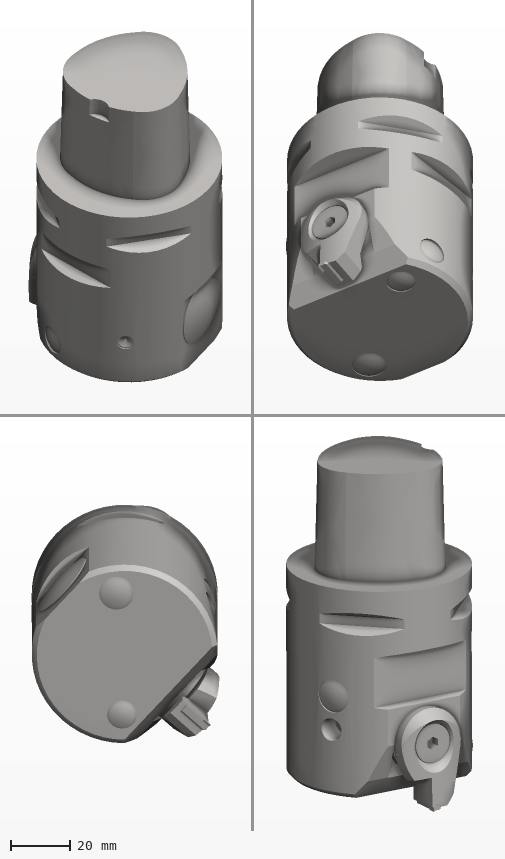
import cadquery as cq
import math


OVERALL_WIDTH = 68.8
OVERALL_HEIGHT = 116.0

BODY_DIA = 63.0
BODY_R = BODY_DIA / 2
CLEAR = BODY_R + 1.2
BODY_BOTTOM = -74.1
BOTTOM_CHAMFER = 1.7

SHANK_LEN = 38.0
SHANK_TAPER = math.degrees(math.atan(1 / 40))
SHANK_MEAN_R = 22.0
SHANK_LOBE = 1.4
FLAT_HALF_WIDTH = 12.4
FLAT_SEAM_DIST = 18.1
KEY_NOTCH_R = 5.0
KEY_NOTCH_Y = -22.7
KEY_NOTCH_DEPTH = 6.6

GRIP_FLAT_DIST = 27.8
GRIP_FLAT_Z = (-13.6, -10.2)
GRIP_FLAT_TURNS = (45, 135, 225, 315)
GRIP_FLARE = 32.0
SIDE_FLAT_DIST = 27.4
SIDE_FLAT_Z = (-31.5, -23.4)
SIDE_FLAT_TURN = 10.0
WINDOW_DIST = 25.4
WINDOW_Z = (-41.3, -23.5)
WALL_FLARE = 15.0

FACE_X = -28.0
UPPER_SLOPE_END = (-24.1, -67.5)
BOTTOM_SLOPE_X = -20.0
REAR_FLAT_X = 28.5
REAR_FLAT_TOP = -42.6

SIDE_PLUGS = ((10.0, -25, -65.7), (11.6, 207, -38.5))
PLUG_ROOT = 23.2
PLUG_RIM = 30.7
PLUG_APEX = 31.9
END_PLUGS = ((11.6, 16.8, 14.3), (10.0, -13.3, -16.1))
END_PLUG_SINK = 0.3
END_PLUG_RISE = 1.0
END_PLUG_ROOT = 1.2
PORT_DIA = 8.0
PORT_DEPTH = 9.3
PORT_ANGLE = 206
PORT_Z = -50.5
NOZZLE_ANGLE = 29
NOZZLE_DIA = 6.0
NOZZLE_STEP = 0.3
FUNNEL_DIA = 5.0
FUNNEL_DEPTH = 1.0
THROAT_DIA = 1.0
THROAT_DEPTH = 2.3

SLIDE_Z = -55.0
SLIDE_DIA = 23.8
BORE_DIA = 24.0
SLIDE_END_X = -26.6
SEAT_X = -24.0
SLIDE_REAR_X = 28.9
SLIDE_DOME = 1.7

HEAD_DIA = 13.6
HEAD_HOLE_DIA = 14.2
HEAD_FACE_X = -33.4
SINK_X = HEAD_FACE_X
SINK_DEPTH = 7.0
HEAD_SEAT_X = -30.2
NECK_DIA = 6.3
HEX_CORNER_DIA = 4.8
HEX_DEPTH = 3.5

CUTTER_BACK_X = -27.4
CUTTER_FRONT_X = -38.3
CUTTER_END_Z = -76.9
FRONT_R = 24.4
FRONT_CREST_X = -35.5
FRONT_TILT = 2.8
CROWN_RIM_X = -32.0
CROWN_RIM_R = 12.1
CROWN_TILT = 5.0
RAKE_Y = 2.1
FOOT_X = -24.6
TAIL_START = (11.5, -58.2)
TAIL_BULGE = (9.6, -64.0)
TAIL_SHOULDER = (6.7, -68.4)
TAIL_TOE = (-4.1, CUTTER_END_Z)
TAIL_CORNER = (-7.1, -73.7)
TAIL_TANGENT = (-11.5, -58.1)
TAIL_BACK_END_Z = -68.9
FOOT_TOP_Z = -72.3
NOTCH_FRONT_Z = -65.5
NOTCH_BACK_Z = -69.4
LIP_TOP_Z = -76.5
LIP_BOTTOM_Z = -77.6
LIP_BACK_X = -26.7
LIP_SHOULDER_X = -36.2
LIP_SIDE_Y = -1.4
LIP_RELIEF = ((LIP_SIDE_Y, -77.0), (-0.7, -77.5), (1.4, LIP_BOTTOM_Z))
TIP_SIDE_Y = -0.3
TIP_BACK_X = -34.5
TIP_X = BODY_R - OVERALL_WIDTH
TIP_Z = SHANK_LEN - OVERALL_HEIGHT


def rod(dia, x_start, x_end):
    """Round bar on the slide axis."""
    return cq.Workplane("YZ", origin=(x_start, 0, SLIDE_Z)).circle(dia / 2).extrude(x_end - x_start)


def prism(points, y_start, y_end):
    """Straight prism along Y from an outline of (x, z) points."""
    return cq.Workplane("XZ", origin=(0, y_start, 0)).polyline(points).close().extrude(y_start - y_end)


def flared_pocket(floor_dist, z_range, flare):
    """Removed shape for a flat facing -Y whose upper and lower walls open outward."""
    rise = (CLEAR - floor_dist) * math.tan(math.radians(flare))
    low, high = z_range
    outline = [(-floor_dist, low), (-CLEAR, low - rise), (-CLEAR, high + rise), (-floor_dist, high)]
    return cq.Workplane("YZ").polyline(outline).close().extrude(BODY_R, both=True)


def turned(shape, angle):
    """Shape turned about the tool axis."""
    return shape.rotate((0, 0, 0), (0, 0, 1), angle)


def domed_plug(dia, root, rim, apex):
    """Round plug along -Y whose spherical end rises from its rim to its apex."""
    half = dia / 2
    mid_r = half / 2
    ball_r = (half**2 + (apex - rim) ** 2) / (2 * (apex - rim))
    mid = apex - ball_r + math.sqrt(ball_r**2 - mid_r**2)
    return (
        cq.Workplane("XY")
        .moveTo(0, -root)
        .lineTo(half, -root)
        .lineTo(half, -rim)
        .threePointArc((mid_r, -mid), (0, -apex))
        .close()
        .revolve(360, (0, 0, 0), (0, 1, 0))
    )


def polar(radius, angle):
    """Point at a radius and an angle in degrees from +X."""
    a = math.radians(angle)
    return radius * math.cos(a), radius * math.sin(a)


def shank():
    """Tapered three-lobed shank with a key notch in its -Y flat."""
    seam_r = math.hypot(FLAT_HALF_WIDTH, FLAT_SEAM_DIST)
    seam_angle = math.degrees(math.atan2(FLAT_HALF_WIDTH, FLAT_SEAM_DIST))
    outline = cq.Workplane("XY").moveTo(*polar(seam_r, -90 - seam_angle))
    for side in range(3):
        flat = -90 + 120 * side
        outline = outline.threePointArc(
            polar(SHANK_MEAN_R - SHANK_LOBE, flat), polar(seam_r, flat + seam_angle)
        ).threePointArc(
            polar(SHANK_MEAN_R + SHANK_LOBE, flat + 60), polar(seam_r, flat + 120 - seam_angle)
        )
    taper = outline.close().extrude(SHANK_LEN, taper=SHANK_TAPER)
    notch = (
        cq.Workplane("XY", origin=(0, KEY_NOTCH_Y, SHANK_LEN)).circle(KEY_NOTCH_R).extrude(-KEY_NOTCH_DEPTH)
    )
    return taper.cut(notch)


def front_relief():
    """Flat and two slopes that clear the housing around the cutter."""
    step = WINDOW_DIST + FACE_X
    face_top = WINDOW_Z[0] + step * math.tan(math.radians(WALL_FLARE))
    outline = [
        (-CLEAR, WINDOW_Z[1]),
        (-WINDOW_DIST, WINDOW_Z[1]),
        (-WINDOW_DIST, WINDOW_Z[0]),
        (FACE_X, face_top),
        (FACE_X, SLIDE_Z),
        UPPER_SLOPE_END,
        (BOTTOM_SLOPE_X, BODY_BOTTOM),
        (BOTTOM_SLOPE_X, TIP_Z),
        (-CLEAR, TIP_Z),
    ]
    return prism(outline, -BODY_R, BODY_R)


def rear_relief():
    """Flat on the +X side with a 45 degree shoulder above it."""
    shoulder = CLEAR - REAR_FLAT_X
    outline = [
        (REAR_FLAT_X, TIP_Z),
        (REAR_FLAT_X, REAR_FLAT_TOP),
        (CLEAR, REAR_FLAT_TOP + shoulder),
        (CLEAR, TIP_Z),
    ]
    return prism(outline, -BODY_R, BODY_R)


def slide_opening():
    """Bore through the housing, open downward in front of its seat."""
    bore = rod(BORE_DIA, -CLEAR, CLEAR)
    slot = prism(
        [(-BODY_R, SLIDE_Z), (SEAT_X, SLIDE_Z), (SEAT_X, BODY_BOTTOM), (-BODY_R, BODY_BOTTOM)],
        -BORE_DIA / 2,
        BORE_DIA / 2,
    )
    return bore.union(slot)


def radial_hole(dia, depth, angle, z):
    """Removed cylinder that enters the body from its side."""
    hole = cq.Workplane("XZ", origin=(0, -CLEAR, 0)).circle(dia / 2).extrude(BODY_R - CLEAR - depth)
    return turned(hole, angle).translate((0, 0, z))


def end_recess(dia, x, y):
    """Removed disc that sinks the rim of an end plug into the bottom face."""
    return cq.Workplane("XY", origin=(x, y, BODY_BOTTOM)).circle(dia / 2).extrude(END_PLUG_SINK)


def end_plug(dia, x, y):
    """Domed plug standing slightly proud of the bottom face."""
    plug = domed_plug(dia, 0, END_PLUG_ROOT, END_PLUG_ROOT + END_PLUG_RISE)
    plug = plug.rotate((0, 0, 0), (1, 0, 0), 90)
    return plug.translate((x, y, BODY_BOTTOM + END_PLUG_SINK + END_PLUG_ROOT))


def nozzle():
    """Radial coolant outlet: a shallow counterbore, a funnel and a fine bore."""
    step_r = BODY_R - NOZZLE_STEP
    throat_r = step_r - FUNNEL_DEPTH
    floor_r = throat_r - THROAT_DEPTH
    outline = [
        (0, -CLEAR), (NOZZLE_DIA / 2, -CLEAR), (NOZZLE_DIA / 2, -step_r), (FUNNEL_DIA / 2, -step_r),
        (THROAT_DIA / 2, -throat_r), (THROAT_DIA / 2, -floor_r), (0, -floor_r),
    ]
    outlet = cq.Workplane("XY").polyline(outline).close().revolve(360, (0, 0, 0), (0, 1, 0))
    return turned(outlet, NOZZLE_ANGLE).translate((0, 0, SLIDE_Z))


def make_housing():
    body = cq.Workplane("XY").circle(BODY_R).extrude(BODY_BOTTOM).faces("<Z").chamfer(BOTTOM_CHAMFER)

    for angle in GRIP_FLAT_TURNS:
        body = body.cut(turned(flared_pocket(GRIP_FLAT_DIST, GRIP_FLAT_Z, GRIP_FLARE), angle))
    body = body.cut(turned(flared_pocket(SIDE_FLAT_DIST, SIDE_FLAT_Z, WALL_FLARE), -SIDE_FLAT_TURN))
    body = body.cut(turned(flared_pocket(WINDOW_DIST, WINDOW_Z, WALL_FLARE), -90))
    body = body.cut(front_relief()).cut(rear_relief())

    for dia, angle, z in SIDE_PLUGS:
        plug = turned(domed_plug(dia, PLUG_ROOT, PLUG_RIM, PLUG_APEX), angle).translate((0, 0, z))
        recess = radial_hole(dia, BODY_R - PLUG_RIM, angle, z)
        body = body.cut(recess).union(plug)
    for dia, x, y in END_PLUGS:
        body = body.cut(end_recess(dia, x, y)).union(end_plug(dia, x, y))
    body = body.cut(radial_hole(PORT_DIA, PORT_DEPTH, PORT_ANGLE, PORT_Z)).cut(nozzle())
    return body.union(shank()).cut(slide_opening())


def make_slide():
    """Round slide with a domed rear end and a necked clamping head in front."""
    bar = domed_plug(SLIDE_DIA, SLIDE_END_X, SLIDE_REAR_X, SLIDE_REAR_X + SLIDE_DOME)
    bar = turned(bar, 90).translate((0, 0, SLIDE_Z))
    neck = rod(NECK_DIA, HEAD_SEAT_X, SLIDE_END_X)
    head = rod(HEAD_DIA, HEAD_FACE_X, HEAD_SEAT_X)
    socket = (
        cq.Workplane("YZ", origin=(HEAD_FACE_X, 0, SLIDE_Z))
        .transformed(rotate=(0, 0, 90))
        .polygon(6, HEX_CORNER_DIA)
        .extrude(HEX_DEPTH)
    )
    return bar.union(neck).union(head).cut(socket)


def cutter_plate():
    """Round head with a tapering tail, before its front is shaped."""
    depth = FOOT_X - CUTTER_FRONT_X
    tail = (
        cq.Workplane("YZ", origin=(CUTTER_FRONT_X, 0, 0))
        .moveTo(*TAIL_START)
        .threePointArc(TAIL_BULGE, TAIL_SHOULDER)
        .lineTo(RAKE_Y, NOTCH_BACK_Z)
        .lineTo(RAKE_Y, CUTTER_END_Z)
        .lineTo(*TAIL_TOE)
        .lineTo(*TAIL_CORNER)
        .lineTo(*TAIL_TANGENT)
        .close()
        .extrude(depth)
    )
    back = prism(
        [
            (CUTTER_FRONT_X, 0), (CUTTER_BACK_X, 0), (CUTTER_BACK_X, TAIL_BACK_END_Z),
            (FOOT_X, FOOT_TOP_Z), (FOOT_X, CUTTER_END_Z), (CUTTER_FRONT_X, CUTTER_END_Z),
        ],
        -SLIDE_DIA,
        SLIDE_DIA,
    )
    notch = prism(
        [
            (CUTTER_FRONT_X, NOTCH_FRONT_Z), (FOOT_X, NOTCH_BACK_Z),
            (FOOT_X, TIP_Z), (CUTTER_FRONT_X, TIP_Z),
        ],
        RAKE_Y,
        SLIDE_DIA,
    )
    return rod(SLIDE_DIA, CUTTER_FRONT_X, CUTTER_BACK_X).union(tail).intersect(back).cut(notch)


def front_form():
    """Upright cylinder, leaning outward below, that shapes the cutter front."""
    return (
        cq.Workplane("XY")
        .circle(FRONT_R)
        .extrude(BODY_R, both=True)
        .rotate((0, 0, 0), (0, 1, 0), FRONT_TILT)
        .translate((FRONT_CREST_X + FRONT_R, 0, SLIDE_Z))
    )


def crown_form():
    """Cone that bevels the upper edge of the head; the tail below is left whole."""
    r = CROWN_RIM_R
    rear = r
    cone = (
        cq.Workplane("XY")
        .polyline([(-r, 0), (rear, r + rear), (rear, 0)])
        .close()
        .revolve(360, (0, 0, 0), (1, 0, 0))
        .rotate((0, 0, 0), (0, 1, 0), CROWN_TILT)
        .translate((CROWN_RIM_X, 0, SLIDE_Z))
    )
    below = prism(
        [(CUTTER_FRONT_X, SLIDE_Z), (FOOT_X, SLIDE_Z), (FOOT_X, TIP_Z), (CUTTER_FRONT_X, TIP_Z)],
        -SLIDE_DIA,
        SLIDE_DIA,
    )
    return cone.union(below)


def cutting_lip():
    """Thin lip under the tail, drawn out to a pointed tip at the rake face."""
    plan = (
        cq.Workplane("XY", origin=(0, 0, TIP_Z))
        .polyline(
            [
                (TIP_X, RAKE_Y), (TIP_X, TIP_SIDE_Y), (LIP_SHOULDER_X, LIP_SIDE_Y),
                (LIP_BACK_X, LIP_SIDE_Y), (LIP_BACK_X, RAKE_Y),
            ]
        )
        .close()
        .extrude(LIP_TOP_Z - TIP_Z)
    )
    side = prism(
        [
            (LIP_BACK_X, LIP_TOP_Z), (TIP_X, LIP_TOP_Z), (TIP_X, TIP_Z),
            (TIP_BACK_X, TIP_Z), (TIP_BACK_X, LIP_BOTTOM_Z), (LIP_BACK_X, LIP_BOTTOM_Z),
        ],
        RAKE_Y,
        -SLIDE_DIA,
    )
    end = (
        cq.Workplane("YZ")
        .polyline(
            [
                (RAKE_Y, LIP_TOP_Z), (LIP_SIDE_Y, LIP_TOP_Z),
                *LIP_RELIEF, (RAKE_Y, TIP_Z),
            ]
        )
        .close()
        .extrude(CUTTER_FRONT_X)
    )
    return plan.intersect(side).intersect(end)


def make_cutter():
    cutter = cutter_plate().intersect(front_form()).intersect(crown_form())

    hole_r = HEAD_HOLE_DIA / 2
    sink = (
        cq.Workplane("XY")
        .polyline(
            [
                (SINK_X, 0), (SINK_X, hole_r),
                (SINK_X - SINK_DEPTH, hole_r + SINK_DEPTH), (SINK_X - SINK_DEPTH, 0),
            ]
        )
        .close()
        .revolve(360, (0, 0, 0), (1, 0, 0))
        .translate((0, 0, SLIDE_Z))
    )
    cutter = cutter.cut(sink)
    cutter = cutter.cut(rod(HEAD_HOLE_DIA, SINK_X, HEAD_SEAT_X)).cut(rod(NECK_DIA, HEAD_SEAT_X, SLIDE_END_X))

    return cutter.union(cutting_lip())


housing = make_housing()
slide = make_slide()
cutter = make_cutter()

result = cq.Compound.makeCompound([housing.val(), slide.val(), cutter.val()])